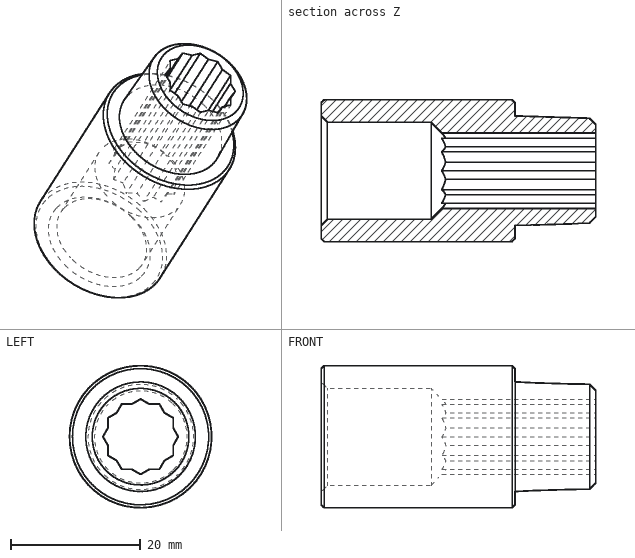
import cadquery as cq
import math

body_diameter = 22.0
body_length = 30.0
body_chamfer = 0.47

spigot_length = 12.5
spigot_taper = 1 / 16
spigot_end_diameter = 16.22
spigot_root_diameter = spigot_end_diameter + spigot_taper * spigot_length
spigot_chamfer = 1.0

bore_diameter = 14.95
bore_depth = 17.0
mouth_chamfer = 1.0
floor_half_angle = 45.0

socket_across_flats = 10.06
socket_corner_diameter = socket_across_flats / math.cos(math.radians(30))
socket_hexagon_angles = (0, 30)

total_length = body_length + spigot_length


def revolve_about_x(profile_points):
    """Turn a closed (x, radius) profile about the X axis."""
    profile = cq.Workplane("XY").polyline(profile_points).close()
    return profile.revolve(360, (0, 0, 0), (1, 0, 0))


def make_outside():
    """Chamfered sleeve with the tapered spigot on its +X end."""
    body_radius = body_diameter / 2
    chamfer_start_radius = (spigot_end_diameter + spigot_taper * spigot_chamfer) / 2
    return revolve_about_x([
        (0, 0),
        (0, body_radius - body_chamfer),
        (body_chamfer, body_radius),
        (body_length - body_chamfer, body_radius),
        (body_length, body_radius - body_chamfer),
        (body_length, spigot_root_diameter / 2),
        (total_length - spigot_chamfer, chamfer_start_radius),
        (total_length, chamfer_start_radius - spigot_chamfer),
        (total_length, 0),
    ])


def make_bore():
    """Round bore from the -X end, ending in a cone."""
    bore_radius = bore_diameter / 2
    floor_height = bore_radius / math.tan(math.radians(floor_half_angle))
    return revolve_about_x([
        (0, 0),
        (0, bore_radius + mouth_chamfer),
        (mouth_chamfer, bore_radius),
        (bore_depth, bore_radius),
        (bore_depth + floor_height, 0),
    ])


def make_hexagon_bar(angle):
    """Hexagonal bar along X, turned about its axis by the given angle."""
    bar = cq.Workplane("YZ").polygon(6, socket_corner_diameter).extrude(total_length)
    return bar.rotate((0, 0, 0), (1, 0, 0), angle)


result = make_outside().cut(make_bore())
for hexagon_angle in socket_hexagon_angles:
    result = result.cut(make_hexagon_bar(hexagon_angle))